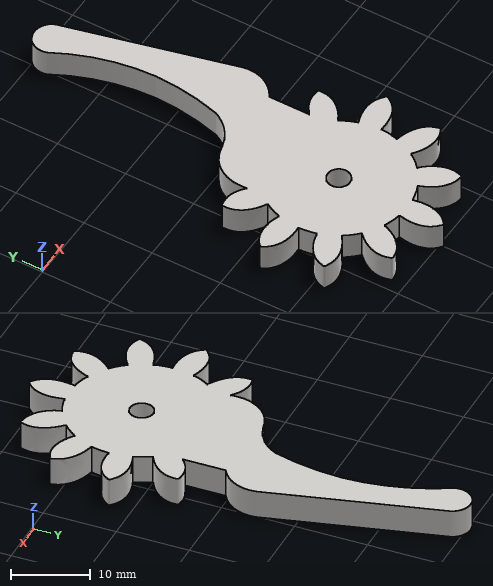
import cadquery as cq

thickness = 4.0
overall_length = 61.2
tip_radius = 15.35
root_radius = 10.0
hole_radius = 1.6

tooth_divisions = 11
tooth_count = 9
tooth_pitch = 360 / tooth_divisions
tooth_root_half_width = 1.6
tooth_half_width = 1.805
tooth_belly_radius = 11.55
tooth_shoulder_half_width = 1.5
tooth_shoulder_radius = 13.45
tooth_nose_half_width = 0.3
tooth_nose_radius = 15.2
tooth_start_radius = 9.5

neck_left = -7.5
neck_right = 7.5
lever_top = overall_length - tip_radius
knob_left = (-0.5, 42.6)
knob_top = (1.95, lever_top)
knob_right = (4.3, 44.15)
heel_top = (10.15, 20.2)
heel_middle = (9.8, 17.2)
heel_bottom = (neck_right, 14.8)
shoulder_start = (neck_left, 10.15)
shoulder_middle = (-6.05, 13.7)
shoulder_end = (-3.2, 15.3)
throat_middle = (-0.1, 16.8)
throat_end = (1.6, 19.05)
back_lower_middle = (2.7, 23.8)
back_middle = (3.1, 28.75)
back_upper_middle = (2.1, 36.25)


def make_tooth(angle):
    """Return one leaf-shaped tooth pointing along the given angle."""
    tooth = (
        cq.Workplane("XY")
        .moveTo(tooth_start_radius, -tooth_root_half_width)
        .lineTo(root_radius, -tooth_root_half_width)
        .spline(
            [
                (tooth_belly_radius, -tooth_half_width),
                (tooth_shoulder_radius, -tooth_shoulder_half_width),
                (tooth_nose_radius, -tooth_nose_half_width),
            ],
            includeCurrent=True,
        )
        .threePointArc((tip_radius, 0), (tooth_nose_radius, tooth_nose_half_width))
        .spline(
            [
                (tooth_shoulder_radius, tooth_shoulder_half_width),
                (tooth_belly_radius, tooth_half_width),
                (root_radius, tooth_root_half_width),
            ],
            includeCurrent=True,
        )
        .lineTo(tooth_start_radius, tooth_root_half_width)
        .close()
        .extrude(thickness)
    )
    return tooth.rotate((0, 0, 0), (0, 0, 1), angle)


def make_lever():
    """Return the neck and curved lever, reaching down to the pivot."""
    return (
        cq.Workplane("XY")
        .moveTo(neck_left, 0)
        .lineTo(*shoulder_start)
        .threePointArc(shoulder_middle, shoulder_end)
        .threePointArc(throat_middle, throat_end)
        .threePointArc(back_lower_middle, back_middle)
        .threePointArc(back_upper_middle, knob_left)
        .threePointArc(knob_top, knob_right)
        .lineTo(*heel_top)
        .threePointArc(heel_middle, heel_bottom)
        .lineTo(neck_right, 0)
        .close()
        .extrude(thickness)
    )


body = cq.Workplane("XY").circle(root_radius).extrude(thickness)
body = body.union(make_lever())

for index in range(tooth_count):
    tooth_angle = -90 + (index - (tooth_count - 1) / 2) * tooth_pitch
    body = body.union(make_tooth(tooth_angle))

pivot_hole = cq.Workplane("XY").circle(hole_radius).extrude(thickness)
result = body.cut(pivot_hole)